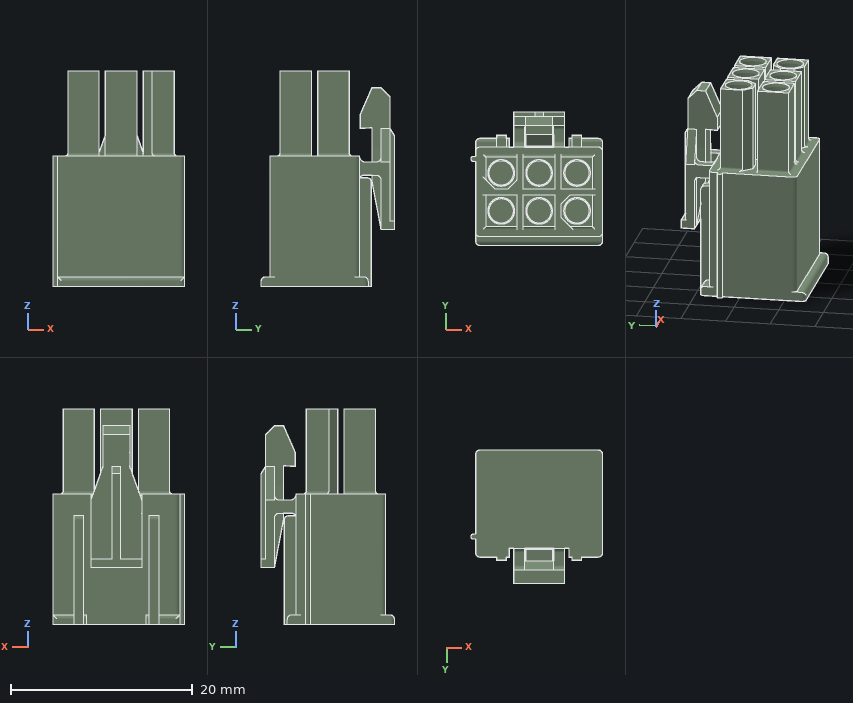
import cadquery as cq

total_height = 23.7
edge_round = 0.5

housing_x = 13.98
housing_y = 9.85
housing_z = 14.36
half_x = housing_x / 2
half_y = housing_y / 2

flange_reach = 0.97
flange_z = 1.07
flange_gap_x = 6.55

post_inner_x = 3.6
post_outer_x = 4.67
post_reach = 1.33
post_z = 11.97

rib_reach = 0.52
rib_width = 0.57
rib_y = 3.63

columns = (-1, 0, 1)
rows = (-1, 1)
tower_pitch = 4.17
tower_gap = 0.66
tower_outer_x = 5.85
tower_outer_y = 3.82
tower_foot_round = 0.3
key_chamfer = 1.0
hole_top_diameter = 2.95
hole_diameter = 2.68
hole_depth = 1.0
hole_lead_in_z = 0.43

latch_half_width = 2.8
latch_outer_y = 8.8
ridge_y = 0.5
plate_y = 1.0
stem_y = 1.0
plate_outer_y = latch_outer_y - ridge_y
plate_inner_y = plate_outer_y - plate_y
stem_inner_y = plate_inner_y - stem_y
hook_tip_y = 5.0
lever_bottom_z = 6.25
grip_z = 0.95
ridge_half_width = 0.47
ridge_chamfer_z = 0.78
arm_bottom_z = 12.23
arm_top_z = 13.7
arm_root_round = housing_z - arm_top_z
stem_half_width = 1.5
stem_flare = 0.1
stem_flare_top_z = 15.25
stem_taper_top_z = 11.5
plate_top_z = 17.37
hook_flat_bottom_z = 18.91
hook_shoulder_z = 20.88
hook_top_z = 21.88
hook_undercut_z = 0.07


def box(x_range, y_range, z_range):
    """Box from (low, high) limits on each axis."""
    (x0, x1), (y0, y1), (z0, z1) = x_range, y_range, z_range
    return cq.Workplane("XY").box(x1 - x0, y1 - y0, z1 - z0, centered=False).translate((x0, y0, z0))


def side_profile(points, half_width):
    """Closed (Y, Z) polygon extruded symmetrically about X = 0."""
    return cq.Workplane("YZ").polyline(points).close().extrude(half_width, both=True)


def make_housing():
    block = box((-half_x, half_x), (-half_y, half_y), (0, housing_z))
    return block.edges("|Z").fillet(edge_round)


def make_flange():
    reach_y = half_y + flange_reach
    slab = box((-half_x, half_x), (-reach_y, reach_y), (0, flange_z))
    rounded_top = slab.edges("|X and >Z").fillet(edge_round)
    flange = rounded_top.intersect(slab.edges("|Z").fillet(edge_round))
    gap_half = flange_gap_x / 2
    return flange.cut(box((-gap_half, gap_half), (half_y, reach_y), (0, flange_z)))


def make_post():
    post = box((post_inner_x, post_outer_x), (0, half_y + post_reach), (0, post_z))
    return post.edges("|X and >Y and >Z").fillet(edge_round)


def make_rib():
    """Full-height rib with a half-round nose."""
    radius = rib_width / 2
    nose_center_x = -half_x - rib_reach + radius
    return (
        cq.Workplane("XY").moveTo(0, rib_y - radius).lineTo(0, rib_y + radius)
        .lineTo(nose_center_x, rib_y + radius)
        .threePointArc((nose_center_x - radius, rib_y), (nose_center_x, rib_y - radius))
        .close().extrude(housing_z)
    )


def tower_profile(plane, low, high, flare_low, flare_high, length):
    """Upright tower outline, with a concave foot on each flared side."""
    r = tower_foot_round
    foot_z = housing_z + r
    outline = cq.Workplane(plane).moveTo(low, total_height)
    if flare_low:
        outline = outline.lineTo(low, foot_z).radiusArc((low - r, housing_z), r)
        outline = outline.lineTo(low - r, housing_z - r)
    else:
        outline = outline.lineTo(low, housing_z - r)
    if flare_high:
        outline = outline.lineTo(high + r, housing_z - r).lineTo(high + r, housing_z)
        outline = outline.radiusArc((high, foot_z), r)
    else:
        outline = outline.lineTo(high, housing_z - r)
    return outline.lineTo(high, total_height).close().extrude(length, both=True)


def tower_limits_x(column):
    half_width = (tower_pitch - tower_gap) / 2
    inner_edge = tower_pitch - half_width
    if column == 0:
        return -half_width, half_width
    return (inner_edge, tower_outer_x) if column > 0 else (-tower_outer_x, -inner_edge)


def make_tower(column, row):
    """Tower whose feet flare only on the sides facing the housing edge."""
    x0, x1 = tower_limits_x(column)
    y0, y1 = (tower_gap / 2, tower_outer_y) if row > 0 else (-tower_outer_y, -tower_gap / 2)
    across_x = tower_profile("XZ", x0, x1, column < 0, column > 0, housing_y)
    across_y = tower_profile("YZ", y0, y1, row < 0, row > 0, housing_x)
    tower = across_x.intersect(across_y)

    keyed_corners = []
    if (column, row) == (-1, 1):
        keyed_corners = [(x0, y0, 1, 1), (x1, y0, -1, 1)]
    if (column, row) == (1, -1):
        keyed_corners = [(x0, y0, 1, 1), (x0, y1, 1, -1)]
    overrun = 2 * tower_foot_round
    for x, y, inward_x, inward_y in keyed_corners:
        corner = [
            (x - inward_x * overrun, y - inward_y * overrun),
            (x + inward_x * (key_chamfer + overrun), y - inward_y * overrun),
            (x - inward_x * overrun, y + inward_y * (key_chamfer + overrun)),
        ]
        cutter = cq.Workplane("XY").workplane(offset=housing_z).polyline(corner).close()
        tower = tower.cut(cutter.extrude(total_height - housing_z))
    return tower


def make_hole(column, row):
    """Blind round socket with a conical lead-in at the mouth."""
    center_x, center_y = column * tower_pitch, row * tower_pitch / 2
    axis_half_section = [
        (0, total_height - hole_depth), (hole_diameter / 2, total_height - hole_depth),
        (hole_diameter / 2, total_height - hole_lead_in_z),
        (hole_top_diameter / 2, total_height), (0, total_height),
    ]
    socket = cq.Workplane("XZ").polyline(axis_half_section).close().revolve(360, (0, 0), (0, 1))
    return socket.translate((center_x, center_y, 0))


def make_lever_plate():
    """Wide plate tapering to the hook, with a grip lip and a central ridge on its outer face."""
    w, n = latch_half_width, stem_half_width
    outline = [
        (-w, lever_bottom_z), (w, lever_bottom_z), (w, arm_top_z),
        (n, plate_top_z), (-n, plate_top_z), (-w, arm_top_z),
    ]
    plate = cq.Workplane("XZ", origin=(0, plate_outer_y, 0)).polyline(outline).close()
    plate = plate.extrude(plate_outer_y - plate_inner_y)
    grip = box((-w, w), (plate_inner_y, latch_outer_y), (lever_bottom_z, lever_bottom_z + grip_z))
    ridge = side_profile(
        [
            (plate_inner_y, lever_bottom_z), (latch_outer_y, lever_bottom_z),
            (latch_outer_y, plate_top_z - ridge_chamfer_z),
            (plate_outer_y, plate_top_z), (plate_inner_y, plate_top_z),
        ],
        ridge_half_width,
    )
    return plate.union(grip).union(ridge)


def make_arms():
    """Two arms joining housing and lever, with concave rounds at both ends and an opening between."""
    r, root = edge_round, arm_root_round
    bridge = (
        cq.Workplane("YZ").moveTo(half_y - r, arm_bottom_z - r).lineTo(half_y, arm_bottom_z - r)
        .radiusArc((half_y + r, arm_bottom_z), r)
        .lineTo(plate_inner_y - r, arm_bottom_z)
        .radiusArc((plate_inner_y, arm_bottom_z - r), r)
        .lineTo(plate_outer_y, arm_bottom_z - r).lineTo(plate_outer_y, arm_top_z)
        .lineTo(plate_inner_y, arm_top_z).lineTo(plate_inner_y, arm_top_z + r)
        .radiusArc((plate_inner_y - r, arm_top_z), r)
        .lineTo(half_y + root, arm_top_z)
        .radiusArc((half_y, housing_z), root).lineTo(half_y - r, housing_z)
        .close().extrude(latch_half_width, both=True)
    )
    opening_half = stem_half_width + stem_flare
    opening = box((-opening_half, opening_half), (half_y, stem_inner_y), (0, housing_z))
    return bridge.cut(opening)


def make_hook():
    """Central stem with the barbed hook on top, slightly wider at its root."""
    stem_and_hook = [
        (plate_inner_y, lever_bottom_z), (plate_outer_y, lever_bottom_z),
        (plate_outer_y, hook_shoulder_z), (plate_inner_y, hook_top_z), (stem_inner_y, hook_top_z),
        (hook_tip_y, hook_flat_bottom_z), (hook_tip_y, plate_top_z),
        (stem_inner_y, plate_top_z + hook_undercut_z), (stem_inner_y, stem_taper_top_z),
    ]
    n, root = stem_half_width, stem_half_width + stem_flare
    width_outline = [
        (-root, lever_bottom_z), (root, lever_bottom_z), (root, arm_top_z), (n, stem_flare_top_z),
        (n, hook_top_z), (-n, hook_top_z), (-n, stem_flare_top_z), (-root, arm_top_z),
    ]
    width_limit = cq.Workplane("XZ").polyline(width_outline).close().extrude(-latch_outer_y)
    return side_profile(stem_and_hook, root).intersect(width_limit)


post = make_post()
result = make_housing().union(make_flange()).union(post).union(post.mirror("YZ")).union(make_rib())

for column in columns:
    for row in rows:
        result = result.union(make_tower(column, row)).cut(make_hole(column, row))

result = result.union(make_lever_plate()).union(make_arms()).union(make_hook())